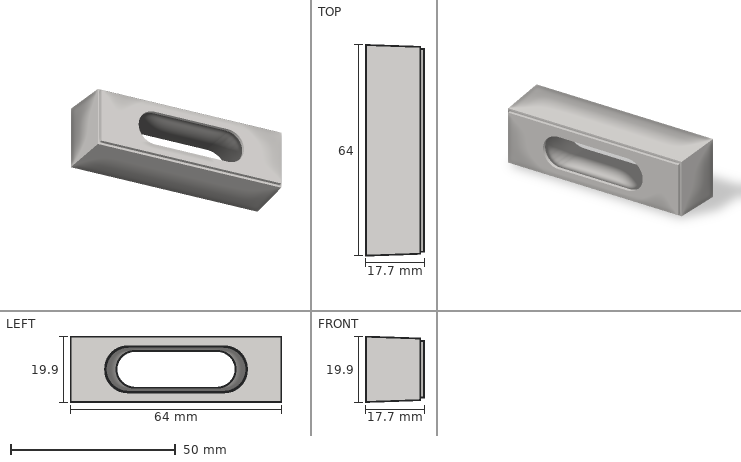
import cadquery as cq

depth = 17.7
length = 64.0
height = 19.9

step_depth = 1.15
taper_inset = 0.6
step_length = 61.6
step_height = 17.2
body_depth = depth - step_depth

mouth_length = 43.15
mouth_height = 14.1
cavity_inset = 0.25
opening_length = 36.1
opening_height = 11.1


def tapered_block():
    return (
        cq.Workplane("YZ")
        .rect(length, height)
        .workplane(offset=body_depth)
        .rect(length - 2 * taper_inset, height - 2 * taper_inset)
        .loft(ruled=True)
    )


def end_step():
    return cq.Workplane("YZ", origin=(body_depth, 0, 0)).rect(step_length, step_height).extrude(step_depth)


def cavity():
    return (
        cq.Workplane("YZ")
        .slot2D(mouth_length, mouth_height)
        .workplane(offset=body_depth)
        .slot2D(mouth_length - 2 * cavity_inset, mouth_height - 2 * cavity_inset)
        .loft(ruled=True)
    )


def through_opening():
    return cq.Workplane("YZ").slot2D(opening_length, opening_height).extrude(depth)


result = tapered_block().union(end_step()).cut(cavity()).cut(through_opening())